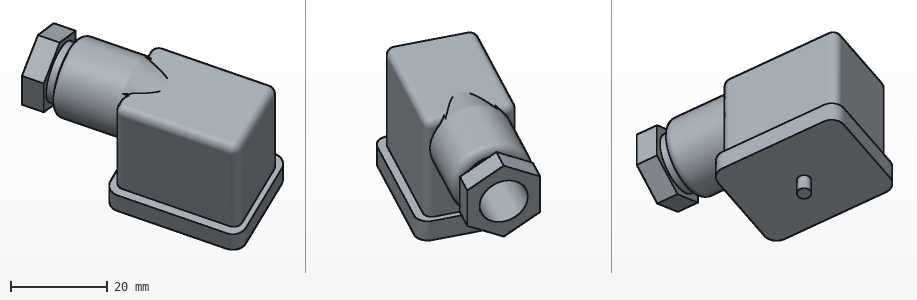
import cadquery as cq
import math

length = 51.75
flange_length = 31.0
flange_width = 24.0
flange_height = 5.0
flange_corner_radius = 3.0

pin_diameter = 3.0
pin_length = 4.0

flange_margin = 1.3
box_length = flange_length - 2 * flange_margin
box_width = 20.05
box_height = 24.95
box_edge_radius = 1.95

overall_height = 36.0
nut_length = 5.0
nut_across_corners = 18.4
neck_diameter = 13.6
neck_length = 1.9
barrel_diameter = 18.0
barrel_edge_radius = 2.0
bore_diameter = 10.5
bore_depth = 15.0

taper_length = 10.55
taper_end_radius = 6.45
ledge_depth = 0.1

flange_center_x = length - flange_length / 2
flange_top = pin_length + flange_height
box_start = length - flange_margin - box_length
barrel_start = nut_length + neck_length
barrel_radius = barrel_diameter / 2
box_top = flange_top + box_height
axis_z = overall_height - nut_across_corners / 2


def gland_plane(x):
    """Plane across the gland axis: local X runs along Y, local Y along Z."""
    return cq.Workplane(cq.Plane(origin=(x, 0, axis_z), xDir=(0, 1, 0), normal=(1, 0, 0)))


def make_base():
    flange = (
        cq.Workplane("XY", origin=(flange_center_x, 0, pin_length))
        .rect(flange_length, flange_width)
        .extrude(flange_height)
        .edges("|Z")
        .fillet(flange_corner_radius)
    )
    pin = (
        cq.Workplane("XY", origin=(flange_center_x, 0, 0))
        .circle(pin_diameter / 2)
        .extrude(flange_top)
    )
    return flange.union(pin)


def make_box():
    return (
        cq.Workplane("XY", origin=(flange_center_x, 0, flange_top))
        .rect(box_length, box_width)
        .extrude(box_height)
        .edges("|Z or >Z")
        .fillet(box_edge_radius)
    )


def make_gland():
    nut = (
        gland_plane(0)
        .transformed(rotate=(0, 0, 90))
        .polygon(6, nut_across_corners)
        .extrude(nut_length)
    )
    neck = gland_plane(nut_length).circle(neck_diameter / 2).extrude(neck_length + barrel_edge_radius)
    barrel = (
        gland_plane(barrel_start)
        .circle(barrel_radius)
        .extrude(box_start - barrel_start)
        .faces("<X")
        .edges()
        .fillet(barrel_edge_radius)
    )
    return nut.union(neck).union(barrel)


def make_transition():
    """Barrel carried on into the box below a flat ledge, with a cone above the ledge."""
    taper_angle = math.degrees(math.atan((barrel_radius - taper_end_radius) / taper_length))
    cone = gland_plane(box_start).circle(barrel_radius).extrude(taper_length, taper=taper_angle)
    barrel_end = gland_plane(box_start).circle(barrel_radius).extrude(box_edge_radius)
    above_ledge = (
        cq.Workplane("XY", origin=(box_start, 0, box_top - ledge_depth))
        .rect(2 * taper_length, barrel_diameter)
        .extrude(barrel_radius)
    )
    return cone.union(barrel_end.cut(above_ledge))


bore = gland_plane(0).circle(bore_diameter / 2).extrude(bore_depth)

result = make_base().union(make_box()).union(make_gland()).union(make_transition()).cut(bore)